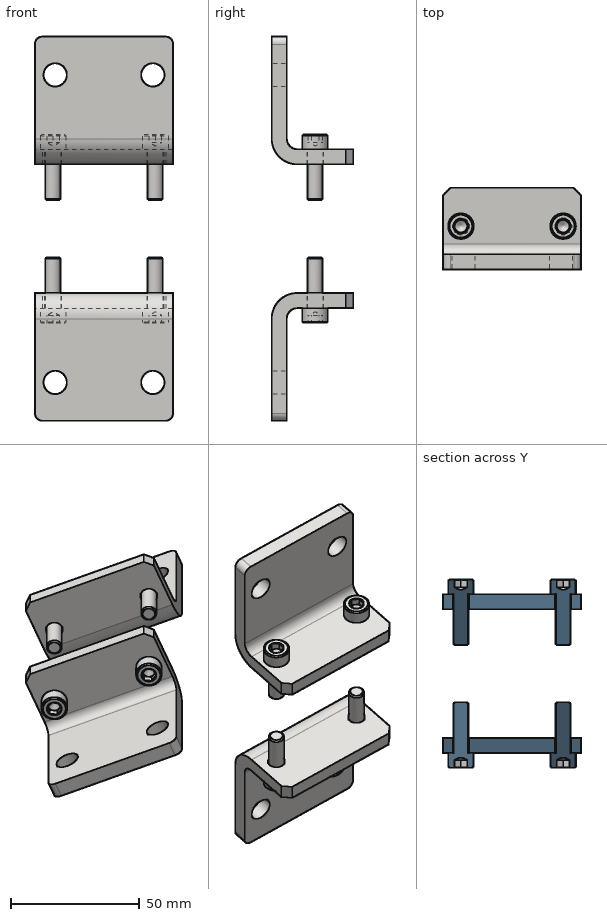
import cadquery as cq
import math

overall_height = 150.0
top_z = overall_height / 2

bracket_width = 54.0
flange_reach = 32.0
wall_height = 50.0
plate_thickness = 6.0
inner_bend_radius = 4.0
corner_size = 3.0
flange_bottom_z = top_z - wall_height
flange_top_z = flange_bottom_z + plate_thickness

mounting_hole_diameter = 9.0
mounting_hole_spacing = 38.1
mounting_hole_end_distance = 15.0
mounting_hole_z = top_z - mounting_hole_end_distance

screw_spacing = 39.9
screw_edge_distance = 15.0
screw_y = flange_reach - screw_edge_distance
clearance_hole_diameter = 6.6
shank_diameter = 6.0
shank_length = 20.0
tip_chamfer = 0.6
head_diameter = 10.0
head_height = 5.7
head_rim_chamfer_height = 0.5
head_rim_chamfer_inset = 0.6

hexagon_sides = 6
half_side_angle = 180 / hexagon_sides
socket_across_flats = 5.0
socket_across_corners = socket_across_flats / math.cos(math.radians(half_side_angle))
socket_depth = 3.0
socket_mouth_diameter = 5.8
socket_cone_angle = 120.0


def pair_positions(spacing):
    """X positions of two features set evenly about the middle of the bracket."""
    return [-spacing / 2, spacing / 2]


def make_cone(base_diameter, included_angle, base_z, direction):
    """Full cone on the Z axis, with its tip above (+1) or below (-1) its base."""
    radius = base_diameter / 2
    height = radius / math.tan(math.radians(included_angle / 2))
    cone = cq.Solid.makeCone(radius, 0, height, cq.Vector(0, 0, base_z), cq.Vector(0, 0, direction))
    return cq.Workplane(obj=cone)


def make_bent_plate():
    """L-shaped plate with a rounded bend, rounded wall corners and chamfered flange corners."""
    plate = (
        cq.Workplane("YZ")
        .moveTo(0, top_z)
        .lineTo(0, flange_bottom_z)
        .lineTo(flange_reach, flange_bottom_z)
        .lineTo(flange_reach, flange_top_z)
        .lineTo(plate_thickness, flange_top_z)
        .lineTo(plate_thickness, top_z)
        .close()
        .extrude(bracket_width / 2, both=True)
    )
    inner_corner = cq.NearestToPointSelector((0, plate_thickness, flange_top_z))
    outer_corner = cq.NearestToPointSelector((0, 0, flange_bottom_z))
    plate = plate.edges(inner_corner).fillet(inner_bend_radius)
    plate = plate.edges(outer_corner).fillet(inner_bend_radius + plate_thickness)
    plate = plate.faces(">Z").edges("|Y").fillet(corner_size)
    return plate.faces(">Y").edges("|Z").chamfer(corner_size)


def make_bracket():
    """Upper bracket: the bent plate with its mounting holes and screw clearance holes."""
    mounting_holes = (
        cq.Workplane("XZ")
        .pushPoints([(x, mounting_hole_z) for x in pair_positions(mounting_hole_spacing)])
        .circle(mounting_hole_diameter / 2)
        .extrude(-plate_thickness)
    )
    clearance_holes = (
        cq.Workplane("XY", origin=(0, 0, flange_bottom_z))
        .pushPoints([(x, screw_y) for x in pair_positions(screw_spacing)])
        .circle(clearance_hole_diameter / 2)
        .extrude(plate_thickness)
    )
    return make_bent_plate().cut(mounting_holes).cut(clearance_holes)


def make_socket():
    """Hexagon socket with a countersunk mouth and a conical bottom, on the Z axis."""
    socket_floor_z = head_height - socket_depth
    hexagon = (
        cq.Workplane("XY", origin=(0, 0, socket_floor_z))
        .polygon(hexagon_sides, socket_across_corners)
        .extrude(socket_depth)
        .rotate((0, 0, 0), (0, 0, 1), half_side_angle)
    )
    bottom_cone = make_cone(socket_across_flats, socket_cone_angle, socket_floor_z, -1)
    mouth_cone = make_cone(socket_mouth_diameter, socket_cone_angle, head_height, -1)
    return hexagon.union(bottom_cone).union(mouth_cone)


def make_screw():
    """Socket head screw on the Z axis, with the underside of its head at Z = 0."""
    head = cq.Workplane("XY").circle(head_diameter / 2).extrude(head_height)
    head = head.faces(">Z").edges().chamfer(head_rim_chamfer_height, head_rim_chamfer_inset)
    shank = cq.Workplane("XY").circle(shank_diameter / 2).extrude(-shank_length)
    shank = shank.faces("<Z").edges().chamfer(tip_chamfer)
    return head.union(shank).cut(make_socket())


upper_bracket = make_bracket()
screw = make_screw()
upper_screws = [screw.translate((x, screw_y, flange_top_z)) for x in pair_positions(screw_spacing)]

bodies = []
for upper_body in [upper_bracket, *upper_screws]:
    lower_body = upper_body.mirror("XY")
    bodies += [upper_body.val(), lower_body.val()]

result = cq.Compound.makeCompound(bodies)